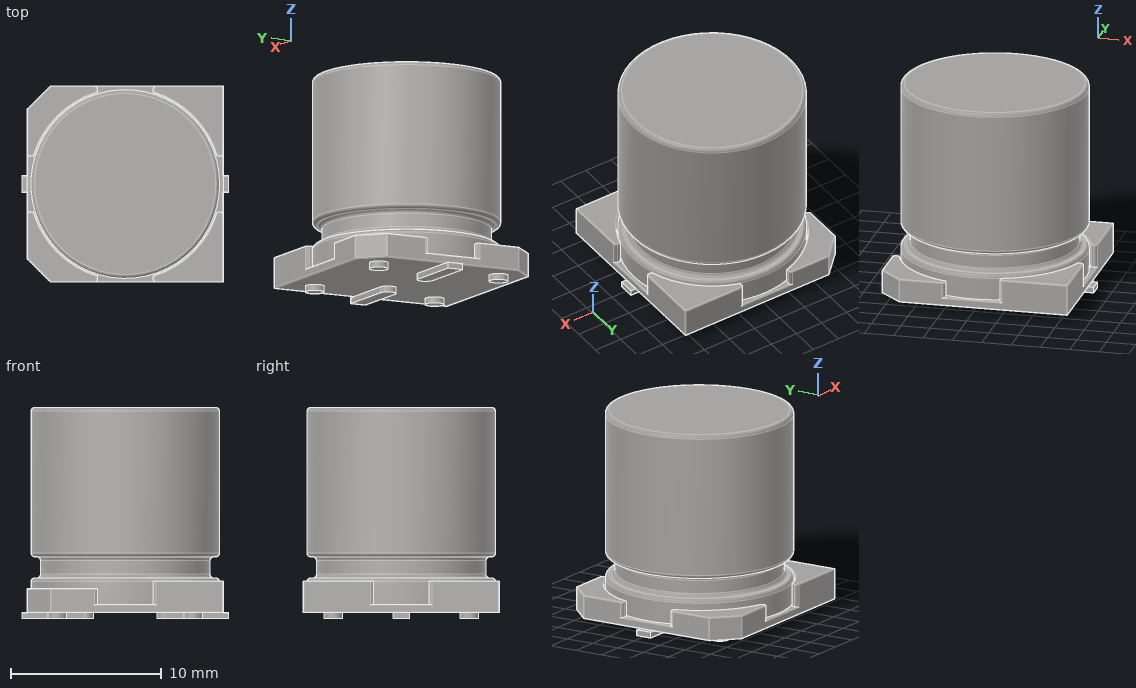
import cadquery as cq

total_height = 14.0
standoff = 0.4
notch_floor_z = 0.95
low_corner_top_z = 2.0
high_corner_top_z = 2.5

base_width = 13.0
corner_chamfer = 1.55
notch_half_width = 1.85
notch_corner_radius = 0.2
base_edge_radius = 0.05
seat_radius = 6.35

can_radius = 12.5 / 2
neck_radius = 11.25 / 2
neck_bottom_z = 2.7
neck_top_z = 4.1
can_edge_radius = 0.25

foot_diameter = 1.25
foot_offset = 4.5
lead_width = 1.1
lead_tip_x = 13.7 / 2
lead_root_x = 2.1

half_base = base_width / 2
post_root_z = (standoff + notch_floor_z) / 2


def base_plate():
    """Bevelled square plate that carries the corner posts, with softened edges."""
    plate = (
        cq.Workplane("XY", origin=(0, 0, standoff))
        .rect(base_width, base_width)
        .extrude(notch_floor_z - standoff)
    )
    return plate.edges("|Z and <X").chamfer(corner_chamfer).edges().fillet(base_edge_radius)


def corner_post(x_side, y_side):
    """Corner post; low and bevelled on the -X side, tall and square on the +X side."""
    is_bevelled = x_side < 0
    top_z = low_corner_top_z if is_bevelled else high_corner_top_z
    width = half_base - notch_half_width
    center = notch_half_width + width / 2
    post = (
        cq.Workplane("XY", origin=(center, center, post_root_z))
        .rect(width, width)
        .extrude(top_z - post_root_z)
    )
    post = post.edges("|Z").edges("(<X and >Y) or (>X and <Y)").fillet(notch_corner_radius)
    if is_bevelled:
        post = post.edges("|Z").edges(">(1, 1, 0)").chamfer(corner_chamfer)
    post = post.edges("|Z").edges(">(1, 1, 0)").fillet(base_edge_radius)
    seat = (
        cq.Workplane("XY", origin=(0, 0, post_root_z))
        .circle(seat_radius)
        .extrude(top_z - post_root_z)
    )
    post = post.cut(seat)
    post = post.edges("|Z").edges("<X or <Y").fillet(base_edge_radius)
    post = post.faces(">Z").edges().fillet(base_edge_radius)
    if x_side < 0:
        post = post.mirror("YZ")
    if y_side < 0:
        post = post.mirror("XZ")
    return post


def make_base():
    """Plate with four corner posts around a round seat for the can."""
    base = base_plate()
    for x_side in (-1, 1):
        for y_side in (-1, 1):
            base = base.union(corner_post(x_side, y_side))
    return base


def make_can():
    """Cylindrical can with a rolled neck groove; every rim is rounded."""
    height = total_height - notch_floor_z
    can = cq.Workplane("XY", origin=(0, 0, notch_floor_z)).circle(can_radius).extrude(height)
    groove = (
        cq.Workplane("XY", origin=(0, 0, neck_bottom_z))
        .circle(can_radius)
        .circle(neck_radius)
        .extrude(neck_top_z - neck_bottom_z)
    )
    return can.cut(groove).edges("%CIRCLE").edges("not <Z").fillet(can_edge_radius)


def make_feet():
    return (
        cq.Workplane("XY")
        .rect(2 * foot_offset, 2 * foot_offset, forConstruction=True)
        .vertices()
        .circle(foot_diameter / 2)
        .extrude(standoff)
    )


def make_lead():
    """Flat lead reaching out along +X with a full-round inner end."""
    half_width = lead_width / 2
    round_start_x = lead_root_x + half_width
    return (
        cq.Workplane("XY")
        .moveTo(lead_tip_x, -half_width)
        .lineTo(lead_tip_x, half_width)
        .lineTo(round_start_x, half_width)
        .threePointArc((lead_root_x, 0), (round_start_x, -half_width))
        .close()
        .extrude(standoff)
    )


lead = make_lead()
result = make_base().union(make_can()).union(make_feet()).union(lead).union(lead.mirror("YZ"))